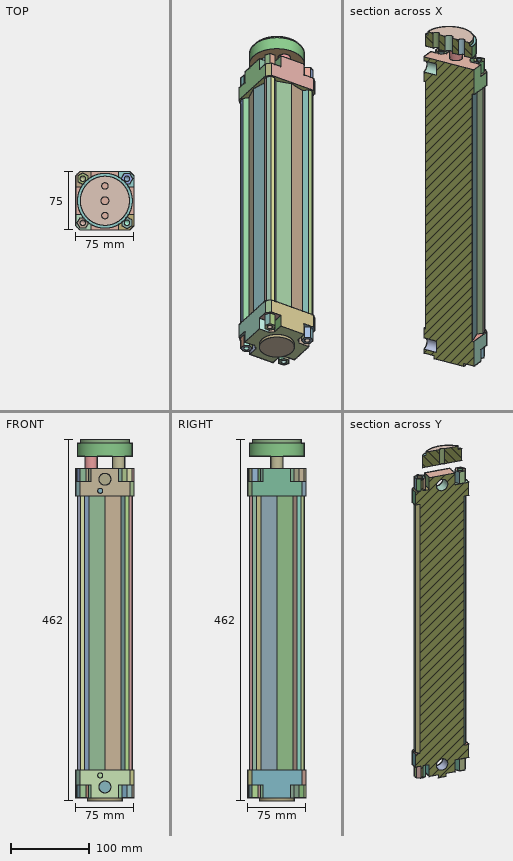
import cadquery as cq
import math

total_height = 462.0
boss_height = 4.0
cap_height = 35.5
rod_gap = 15.2
flange_thickness = 17.0
pad_height = 4.5

lower_cap_bottom = boss_height
tube_bottom = lower_cap_bottom + cap_height
pad_bottom = total_height - pad_height
flange_bottom = pad_bottom - flange_thickness
upper_cap_top = flange_bottom - rod_gap
tube_top = upper_cap_top - cap_height

cap_width = 75.0
cap_chamfer = 5.5
cap_half = cap_width / 2
boss_diameter = 45.0

notch_offset = 17.5
notch_depth = 16.5
notch_corner_chamfer = 5.0
notch_size = cap_half - notch_offset
notch_center = (cap_half + notch_offset) / 2
nut_center = 28.0
nut_across_flats = 13.0
nut_across_corners = nut_across_flats / math.cos(math.radians(30))
nut_hole_diameter = 7.0
nut_hole_depth = 9.2
drill_point_angle = 118.0

port_diameter = 15.2
port_depth = 18.5
port_from_cap_end = 14.0
screw_hole_diameter = 6.5
screw_hole_depth = 9.2
screw_hole_x = -6.0
screw_hole_from_cap_end = 28.5

tube_half = 35.0
tube_corner_chamfer = 4.0
groove_outer = 26.0
groove_depth = 5.5
groove_inner = groove_outer - groove_depth
groove_floor = tube_half - groove_depth

rod_diameter = 16.0
rod_offset = 17.5
flange_diameter = 70.0
pad_diameter = 63.0
plate_center_hole_diameter = 10.0
plate_side_hole_diameter = 8.5
plate_side_hole_offset = 19.0

quarter_turns = [0, 90, 180, 270]


def turned(x, y, degrees):
    """Point (x, y) turned about the Z axis."""
    c = math.cos(math.radians(degrees))
    s = math.sin(math.radians(degrees))
    return (x * c - y * s, x * s + y * c)


def cylinder(diameter, bottom, top, x=0.0, y=0.0):
    """Upright cylinder between two levels."""
    return cq.Workplane("XY", origin=(x, y, bottom)).circle(diameter / 2).extrude(top - bottom)


def make_tube():
    """Grooved tube between the two caps."""
    side = [
        (-(tube_half - tube_corner_chamfer), -tube_half),
        (-groove_outer, -tube_half),
        (-groove_inner, -groove_floor),
        (0, -tube_half),
        (groove_inner, -groove_floor),
        (groove_outer, -tube_half),
        (tube_half - tube_corner_chamfer, -tube_half),
    ]
    outline = [turned(x, y, turn) for turn in quarter_turns for x, y in side]
    tube = cq.Workplane("XY", origin=(0, 0, tube_bottom))
    return tube.polyline(outline).close().extrude(tube_top - tube_bottom)


def make_nut():
    """Hexagonal nut of the (+X, +Y) corner, with a pointed hole drilled into its top."""
    base = cap_height - notch_depth
    nut = (
        cq.Workplane("XY", origin=(nut_center, nut_center, base))
        .polygon(6, nut_across_corners)
        .extrude(notch_depth)
    )
    hole_radius = nut_hole_diameter / 2
    point_height = hole_radius / math.tan(math.radians(drill_point_angle / 2))
    hole_bottom = cap_height - nut_hole_depth
    hole = (
        cq.Workplane("XZ", origin=(nut_center, nut_center, 0))
        .moveTo(0, hole_bottom - point_height)
        .lineTo(hole_radius, hole_bottom)
        .lineTo(hole_radius, cap_height)
        .lineTo(0, cap_height)
        .close()
        .revolve(360, (0, 0, 0), (0, 1, 0))
    )
    return nut.cut(hole)


def make_notch():
    """Cutter for the (+X, +Y) corner notch, with a slanted inner corner."""
    return (
        cq.Workplane("XY", origin=(notch_center, notch_center, cap_height - notch_depth))
        .rect(notch_size, notch_size)
        .extrude(notch_depth)
        .edges("|Z and <X and <Y")
        .chamfer(notch_corner_chamfer)
    )


def front_hole(diameter, depth, x, from_cap_end):
    """Cutter for a hole that enters a cap through its -Y face."""
    start = cq.Workplane("XZ", origin=(x, -cap_half, cap_height - from_cap_end))
    return start.circle(diameter / 2).extrude(-depth)


def make_cap():
    """End cap standing on Z = 0, with its notched end on top."""
    cap = (
        cq.Workplane("XY")
        .rect(cap_width, cap_width)
        .extrude(cap_height)
        .edges("|Z")
        .chamfer(cap_chamfer)
    )
    notch = make_notch()
    nut = make_nut()
    for turn in quarter_turns:
        cap = cap.cut(notch.rotate((0, 0, 0), (0, 0, 1), turn))
        cap = cap.union(nut.rotate((0, 0, 0), (0, 0, 1), turn))
    cap = cap.cut(front_hole(port_diameter, port_depth, 0, port_from_cap_end))
    return cap.cut(front_hole(screw_hole_diameter, screw_hole_depth, screw_hole_x, screw_hole_from_cap_end))


def make_housing():
    """Cylinder housing: the tube, a cap on each end and the round boss underneath."""
    cap = make_cap()
    upper_cap = cap.translate((0, 0, tube_top))
    lower_cap = cap.mirror("XY").translate((0, 0, tube_bottom))
    boss = cylinder(boss_diameter, 0, lower_cap_bottom)
    return make_tube().union(upper_cap).union(lower_cap).union(boss)


def make_rod_plate():
    """Round end plate carried by two rods that meet the top of the housing."""
    flange = cylinder(flange_diameter, flange_bottom, pad_bottom)
    pad = cylinder(pad_diameter, pad_bottom, total_height)
    plate = flange.union(pad)
    plate = plate.cut(cylinder(plate_center_hole_diameter, flange_bottom, total_height))
    for side in (-1, 1):
        hole_y = side * plate_side_hole_offset
        plate = plate.cut(cylinder(plate_side_hole_diameter, flange_bottom, total_height, y=hole_y))
        plate = plate.union(cylinder(rod_diameter, upper_cap_top, flange_bottom, x=side * rod_offset))
    return plate


housing = make_housing()
rod_plate = make_rod_plate()

result = cq.Compound.makeCompound([housing.val(), rod_plate.val()])